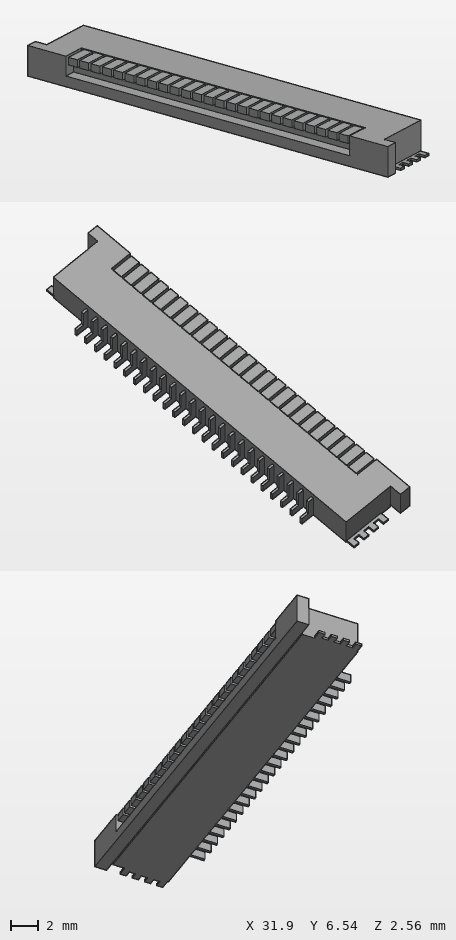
import cadquery as cq


total_length = 31.92
total_depth = 6.54
total_height = 2.56

base_thickness = 0.18
ear_length = 1.0
flange_depth = 0.94
bar_depth = 1.9
housing_depth = 5.4
housing_length = total_length - 2 * ear_length

pitch = 1.0
tooth_count = 25
tooth_width = 0.8
tooth_drop = 0.07
tooth_setback = 0.07
tooth_bottom = 1.9
opening_length = 25.15
opening_depth = flange_depth
opening_floor = 1.02

pin_count = tooth_count - 1
pin_width = 0.2
pin_riser_back = 5.88
pin_riser_top = 2.1
pin_foot_height = 0.67

finger_count = 4
finger_width = 0.49
finger_pitch = 2 * finger_width
finger_reach = 15.7
finger_root = 15.2
fingers_span = (finger_count - 1) * finger_pitch + finger_width


def block(x_range, y_range, z_range):
    """Axis-aligned box given by its limits along each axis."""
    size = [high - low for low, high in (x_range, y_range, z_range)]
    corner = (x_range[0], y_range[0], z_range[0])
    return cq.Workplane("XY").box(*size, centered=False).translate(corner)


def centred_row(count, spacing):
    """X positions of evenly spaced items centred on X = 0."""
    return [(i - (count - 1) / 2) * spacing for i in range(count)]


def centred(length):
    """X limits of a feature centred on X = 0."""
    return (-length / 2, length / 2)


def make_housing():
    """Long body with an eared flange at the front and a thin base under it."""
    heights = (base_thickness, total_height)
    flange = block(centred(total_length), (0, flange_depth), heights)
    body = block(centred(housing_length), (0, housing_depth), heights)
    base = block(centred(housing_length), (flange_depth, housing_depth), (0, base_thickness))
    return flange.union(body).union(base)


def make_cable_opening():
    """Cable mouth at the front, below a deeper recess that holds the teeth."""
    x_range = centred(opening_length)
    mouth = block(x_range, (0, opening_depth), (opening_floor, total_height))
    recess = block(x_range, (0, bar_depth), (tooth_bottom, total_height))
    return mouth.union(recess)


def make_teeth():
    """Teeth reaching forward from the back of the recess, over the cable mouth."""
    teeth = cq.Workplane("XY")
    for x in centred_row(tooth_count, pitch):
        x_range = (x - tooth_width / 2, x + tooth_width / 2)
        z_range = (tooth_bottom, total_height - tooth_drop)
        teeth = teeth.add(block(x_range, (tooth_setback, bar_depth), z_range))
    return teeth.combine()


def make_pins():
    """L-shaped contact tails: a riser against the rear wall and a foot on the board."""
    profile = (
        cq.Workplane("YZ")
        .moveTo(housing_depth, 0)
        .lineTo(total_depth, 0)
        .lineTo(total_depth, pin_foot_height)
        .lineTo(pin_riser_back, pin_foot_height)
        .lineTo(pin_riser_back, pin_riser_top)
        .lineTo(housing_depth, pin_riser_top)
        .close()
    )
    pin = profile.extrude(pin_width / 2, both=True)
    pins = cq.Workplane("XY")
    for x in centred_row(pin_count, pitch):
        pins = pins.add(pin.translate((x, 0, 0)))
    return pins.combine()


def make_clips():
    """Thin comb-shaped soldering clips, running across under the housing to both ends."""
    z_range = (0, base_thickness)
    clips = block(centred(2 * finger_root), (bar_depth, bar_depth + fingers_span), z_range)
    for i in range(finger_count):
        y = bar_depth + i * finger_pitch
        clips = clips.union(block(centred(2 * finger_reach), (y, y + finger_width), z_range))
    return clips


connector = make_housing().cut(make_cable_opening()).union(make_teeth())
result = connector.union(make_pins()).union(make_clips())